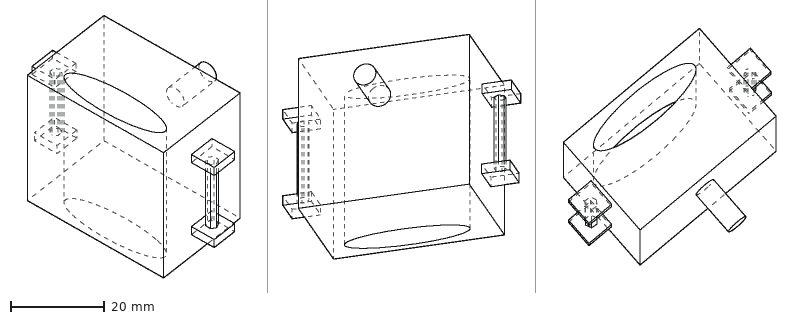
import cadquery as cq

BLOCK_WIDTH = 38.5
BLOCK_DEPTH = 25.35
BLOCK_HEIGHT = 36.05

OVAL_LENGTH = 28.2
OVAL_WIDTH = 7.6
OVAL_Y = 5.5

PIN_DIAMETER = 5.0
PIN_LENGTH = 10.7
PIN_Z = 24.3
CENTER_X = 20.15

PAD_THICKNESS = 2.3
PAD_FRONT = 9.2

LEFT_UPPER_REACH = 6.55
LEFT_UPPER_DEPTH = 6.85
LEFT_UPPER_Z = 26.3
LEFT_LOWER_REACH = 6.4
LEFT_LOWER_DEPTH = 6.55
LEFT_LOWER_FRONT = 9.9
LEFT_LOWER_Z = 6.85
LEFT_BAR_DIAMETER = 2.6
LEFT_BAR_OFFSET = 3.1
LEFT_BAR_Y = 13.05
LEFT_BAR_ANGLE = 90

RIGHT_REACH = 6.45
RIGHT_DEPTH = 6.8
RIGHT_UPPER_Z = 26.95
RIGHT_LOWER_Z = 6.2
RIGHT_BAR_DIAMETER = 2.85
RIGHT_BAR_OFFSET = 2.95
RIGHT_BAR_Y = PAD_FRONT + RIGHT_DEPTH / 2
RIGHT_BAR_ANGLE = -5


def make_block():
    block = cq.Workplane("XY").box(BLOCK_WIDTH, BLOCK_DEPTH, BLOCK_HEIGHT, centered=False)
    opening = (
        cq.Workplane("XY")
        .center(CENTER_X, OVAL_Y)
        .ellipse(OVAL_LENGTH / 2, OVAL_WIDTH / 2)
        .extrude(BLOCK_HEIGHT)
    )
    return block.cut(opening)


def make_pin():
    return (
        cq.Workplane("XZ", origin=(CENTER_X, BLOCK_DEPTH, PIN_Z))
        .circle(PIN_DIAMETER / 2)
        .extrude(-PIN_LENGTH)
    )


def make_pad(x_start, y_front, z_bottom, reach, depth):
    pad = cq.Workplane("XY").box(reach, depth, PAD_THICKNESS, centered=False)
    return pad.translate((x_start, y_front, z_bottom))


def make_bar(x, y, lower_pad_z, upper_pad_z, diameter, angle):
    """Hexagonal bar from the top of the lower pad to the underside of the upper pad."""
    z_bottom = lower_pad_z + PAD_THICKNESS
    bar = cq.Workplane("XY").polygon(6, diameter).extrude(upper_pad_z - z_bottom)
    return bar.rotate((0, 0, 0), (0, 0, 1), angle).translate((x, y, z_bottom))


def make_left_handle():
    upper = make_pad(-LEFT_UPPER_REACH, PAD_FRONT, LEFT_UPPER_Z, LEFT_UPPER_REACH, LEFT_UPPER_DEPTH)
    lower = make_pad(-LEFT_LOWER_REACH, LEFT_LOWER_FRONT, LEFT_LOWER_Z, LEFT_LOWER_REACH, LEFT_LOWER_DEPTH)
    bar = make_bar(
        -LEFT_BAR_OFFSET, LEFT_BAR_Y, LEFT_LOWER_Z, LEFT_UPPER_Z, LEFT_BAR_DIAMETER, LEFT_BAR_ANGLE
    )
    return upper.union(lower).union(bar)


def make_right_handle():
    upper = make_pad(BLOCK_WIDTH, PAD_FRONT, RIGHT_UPPER_Z, RIGHT_REACH, RIGHT_DEPTH)
    lower = make_pad(BLOCK_WIDTH, PAD_FRONT, RIGHT_LOWER_Z, RIGHT_REACH, RIGHT_DEPTH)
    bar = make_bar(
        BLOCK_WIDTH + RIGHT_BAR_OFFSET, RIGHT_BAR_Y, RIGHT_LOWER_Z, RIGHT_UPPER_Z,
        RIGHT_BAR_DIAMETER, RIGHT_BAR_ANGLE,
    )
    return upper.union(lower).union(bar)


result = make_block().union(make_pin()).union(make_left_handle()).union(make_right_handle())